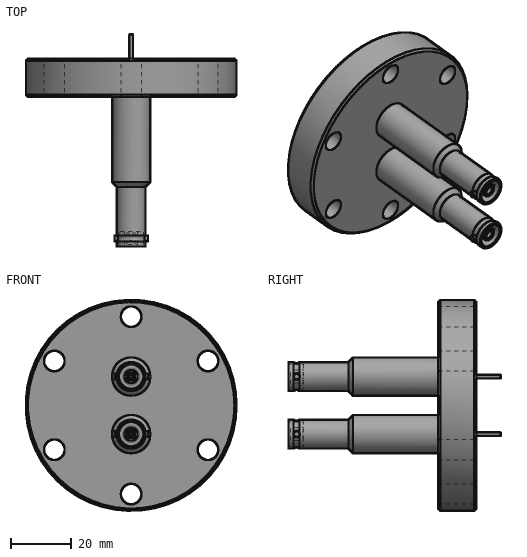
import cadquery as cq

FLANGE_DIAMETER = 69.85
FLANGE_THICKNESS = 12.7
FLANGE_CHAMFER = 0.76
BOLT_COUNT = 6
BOLT_CIRCLE_DIAMETER = 58.72
BOLT_HOLE_DIAMETER = 6.73

CONNECTOR_PITCH = 19.05
OVERALL_LENGTH = 70.38
PIN_PROTRUSION = 8.13
CONNECTOR_LENGTH = OVERALL_LENGTH - FLANGE_THICKNESS - PIN_PROTRUSION
BODY_DIAMETER = 12.7
BODY_LENGTH = 28.2
BARREL_DIAMETER = 9.6
SHOULDER_LENGTH = (BODY_DIAMETER - BARREL_DIAMETER) / 2

LUG_DIAMETER = 2.01
LUG_SPAN = 11.18
GROOVE_WIDTH = 2.01
GROOVE_DEPTH = 0.33
MOUTH_LAND = 1.67
LUG_SETBACK = 2.75

SOCKET_DIAMETER = 8.1
SOCKET_DEPTH = 5.0
INSULATOR_DIAMETER = 4.32
INSULATOR_FOOT_DIAMETER = 5.46
INSULATOR_BORE = 2.67
INSULATOR_SETBACK = 0.7

PIN_DIAMETER = 1.27
PIN_TIP_RADIUS = 0.5
PIN_SETBACK = 2.0

MOUTH_Y = -CONNECTOR_LENGTH
SOCKET_FLOOR_Y = MOUTH_Y + SOCKET_DEPTH


def cylinder(diameter, start_y, end_y):
    """Cylinder on the Y axis between two Y positions."""
    return cq.Workplane("XZ", origin=(0, end_y, 0)).circle(diameter / 2).extrude(end_y - start_y)


def make_flange():
    flange = cylinder(FLANGE_DIAMETER, 0, FLANGE_THICKNESS).edges().chamfer(FLANGE_CHAMFER)
    bolt_holes = (
        cq.Workplane("XZ", origin=(0, FLANGE_THICKNESS, 0))
        .polarArray(BOLT_CIRCLE_DIAMETER / 2, 90, 360, BOLT_COUNT)
        .circle(BOLT_HOLE_DIAMETER / 2)
        .extrude(FLANGE_THICKNESS)
    )
    return flange.cut(bolt_holes)


def make_shell():
    """Stepped body and barrel with the rounded groove, as one turned profile."""
    body_radius = BODY_DIAMETER / 2
    barrel_radius = BARREL_DIAMETER / 2
    groove_front_y = MOUTH_Y + MOUTH_LAND
    groove_back_y = groove_front_y + GROOVE_WIDTH
    groove_bottom = (barrel_radius - GROOVE_DEPTH, groove_front_y + GROOVE_WIDTH / 2)
    return (
        cq.Workplane("XY")
        .moveTo(0, 0)
        .lineTo(body_radius, 0)
        .lineTo(body_radius, -BODY_LENGTH)
        .lineTo(barrel_radius, -BODY_LENGTH - SHOULDER_LENGTH)
        .lineTo(barrel_radius, groove_back_y)
        .threePointArc(groove_bottom, (barrel_radius, groove_front_y))
        .lineTo(barrel_radius, MOUTH_Y)
        .lineTo(0, MOUTH_Y)
        .close()
        .revolve(360, (0, 0, 0), (0, 1, 0))
    )


def make_lugs():
    """Pair of bayonet lugs, one rod across the barrel along X."""
    return (
        cq.Workplane("YZ", origin=(-LUG_SPAN / 2, MOUTH_Y + LUG_SETBACK, 0))
        .circle(LUG_DIAMETER / 2)
        .extrude(LUG_SPAN)
    )


def make_insulator():
    """Sleeve standing on the socket floor, with a concave fillet round its foot."""
    tip_y = MOUTH_Y + INSULATOR_SETBACK
    outer_radius = INSULATOR_DIAMETER / 2
    foot_radius = INSULATOR_FOOT_DIAMETER / 2
    fillet_radius = foot_radius - outer_radius
    return (
        cq.Workplane("XY")
        .moveTo(INSULATOR_BORE / 2, SOCKET_FLOOR_Y)
        .lineTo(foot_radius, SOCKET_FLOOR_Y)
        .radiusArc((outer_radius, SOCKET_FLOOR_Y - fillet_radius), -fillet_radius)
        .lineTo(outer_radius, tip_y)
        .lineTo(INSULATOR_BORE / 2, tip_y)
        .close()
        .revolve(360, (0, 0, 0), (0, 1, 0))
    )


def make_pin():
    pin = cylinder(PIN_DIAMETER, MOUTH_Y + PIN_SETBACK, FLANGE_THICKNESS + PIN_PROTRUSION)
    return pin.faces("<Y or >Y").edges().fillet(PIN_TIP_RADIUS)


def make_connector():
    socket = cylinder(SOCKET_DIAMETER, MOUTH_Y, SOCKET_FLOOR_Y)
    housing = make_shell().union(make_lugs()).cut(socket)
    return housing.union(make_insulator()).union(make_pin())


result = make_flange()
connector = make_connector()
for side in (-1, 1):
    result = result.union(connector.translate((0, 0, side * CONNECTOR_PITCH / 2)))